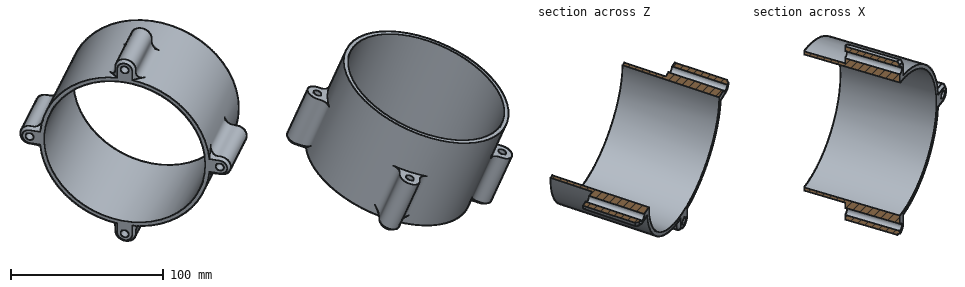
import cadquery as cq
import math

length = 70.0
outer_radius = 116.0 / 2
inner_radius = 110.0 / 2

lug_count = 4
lug_reach = 144 / 2
lug_radius = 7.0
lug_length = 40.0
hole_diameter = 5.5
fillet_radius = 6.0
chamfer = 2.0
hole_offset = lug_reach - lug_radius


def front_plane(y=0):
    """Sketch plane facing the front, with local x = X and local y = Z."""
    return cq.Workplane("XZ", origin=(0, y, 0))


def lug_body():
    """Round-ended lug whose flanks blend tangentially into the ring."""
    blend_x = lug_radius + fillet_radius
    blend_distance = outer_radius + fillet_radius
    blend_z = math.sqrt(blend_distance**2 - blend_x**2)
    foot_ratio = outer_radius / blend_distance
    foot_x = blend_x * foot_ratio
    foot_z = blend_z * foot_ratio
    foot_angle = math.atan2(blend_z, blend_x)
    middle_angle = (math.pi + math.pi + foot_angle) / 2
    middle_x = blend_x + fillet_radius * math.cos(middle_angle)
    middle_z = blend_z + fillet_radius * math.sin(middle_angle)
    root_z = (inner_radius + outer_radius) / 2
    return (
        front_plane()
        .moveTo(0, root_z)
        .lineTo(foot_x, foot_z)
        .threePointArc((middle_x, middle_z), (lug_radius, blend_z))
        .lineTo(lug_radius, hole_offset)
        .threePointArc((0, lug_reach), (-lug_radius, hole_offset))
        .lineTo(-lug_radius, blend_z)
        .threePointArc((-middle_x, middle_z), (-foot_x, foot_z))
        .close()
        .extrude(-lug_length)
    )


def chamfer_envelope():
    """Volume widening at 45 degrees from the front face, around the hole axis."""
    front_half_width = lug_radius - chamfer
    back_half_width = front_half_width + lug_length
    cone = cq.Workplane(
        cq.Solid.makeCone(
            front_half_width,
            back_half_width,
            lug_length,
            pnt=cq.Vector(0, 0, hole_offset),
            dir=cq.Vector(0, 1, 0),
        )
    )
    wedge = (
        cq.Workplane("XY")
        .polyline(
            [
                (-front_half_width, 0),
                (front_half_width, 0),
                (back_half_width, lug_length),
                (-back_half_width, lug_length),
            ]
        )
        .close()
        .extrude(hole_offset)
    )
    return cone.union(wedge)


lug = lug_body().intersect(chamfer_envelope())
screw_hole = front_plane().center(0, hole_offset).circle(hole_diameter / 2).extrude(-lug_length)

result = front_plane().circle(outer_radius).extrude(-length)
for index in range(lug_count):
    turn = index * 360 / lug_count
    result = result.union(lug.rotate((0, 0, 0), (0, 1, 0), turn))
    result = result.cut(screw_hole.rotate((0, 0, 0), (0, 1, 0), turn))
result = result.cut(front_plane().circle(inner_radius).extrude(-length))